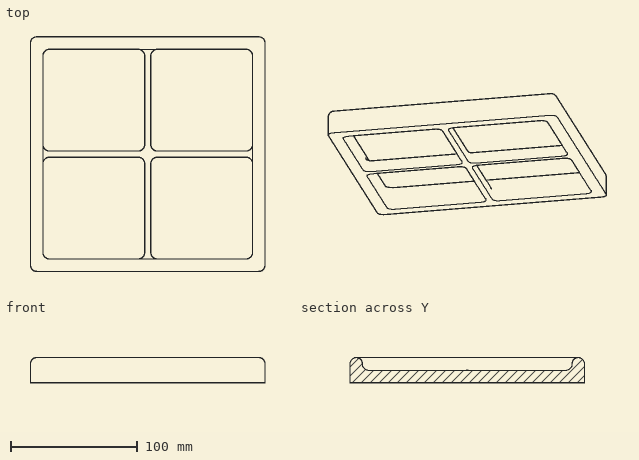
import cadquery as cq

side = 185.0
frame_height = 20.0
rail_width = 10.0
bar_width = 5.0
bar_height = 10.0
blend_radius = 5.0

rail_round = rail_width / 2
bar_round = bar_width / 2
opening = side - 2 * rail_width
bar_length = side - rail_width
tolerance = 0.02


def rounded_block():
    """Outer block with rounded vertical corners and a rounded top rim."""
    block = cq.Workplane("XY").box(side, side, frame_height, centered=(True, True, False))
    return block.edges("|Z").fillet(rail_round).faces(">Z").edges().fillet(rail_round)


def opening_plate():
    """Oversize plate with the central opening, its rim rounded at the top."""
    plate = cq.Workplane("XY").rect(2 * side, 2 * side).extrude(frame_height)
    window = (
        cq.Workplane("XY")
        .rect(opening, opening)
        .extrude(frame_height)
        .edges("|Z")
        .fillet(blend_radius)
    )
    rim = cq.selectors.BoxSelector(
        (-side / 2, -side / 2, frame_height - tolerance),
        (side / 2, side / 2, frame_height + tolerance),
    )
    return plate.cut(window).edges(rim).fillet(rail_round)


def bar(plane):
    """Straight bar with a half-round top, centred along the plane's normal."""
    spring_height = bar_height - bar_round
    return (
        cq.Workplane(plane)
        .moveTo(-bar_round, 0)
        .lineTo(bar_round, 0)
        .lineTo(bar_round, spring_height)
        .threePointArc((0, bar_height), (-bar_round, spring_height))
        .close()
        .extrude(bar_length / 2, both=True)
    )


def box_edges(center_x, center_y, half_x, half_y):
    """Select edges whose centres lie within a full-height box above the base."""
    return cq.selectors.BoxSelector(
        (center_x - half_x, center_y - half_y, tolerance),
        (center_x + half_x, center_y + half_y, frame_height),
    )


crossing = box_edges(0, 0, bar_width, bar_width)
cross = bar("XZ").union(bar("YZ")).edges(crossing).fillet(blend_radius)

frame = rounded_block().intersect(opening_plate())
result = frame.union(cross)

wall = opening / 2
for x, y in ((wall, 0), (-wall, 0), (0, wall), (0, -wall)):
    half_x = tolerance if x else bar_width
    half_y = tolerance if y else bar_width
    result = result.edges(box_edges(x, y, half_x, half_y)).fillet(blend_radius)

result = cq.Workplane(result.solids().val().fix())